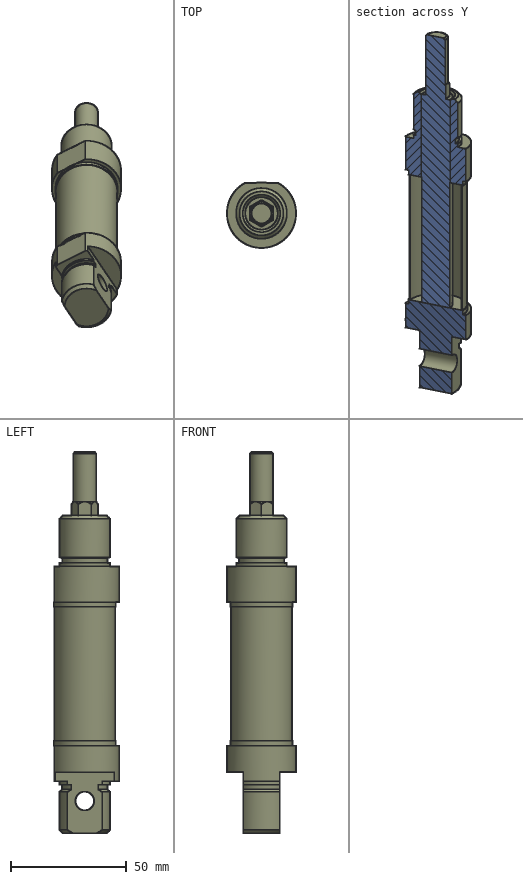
import cadquery as cq
import math


TOTAL_LENGTH = 165.0
REAR_CAP_BOTTOM = 22.5
TANG_SHOULDER = 26.5
REAR_CAP_TOP = 38.0
FRONT_CAP_BOTTOM = 100.0
FRONT_CAP_TOP = 115.5
NOSE_TOP = 137.5
HEX_TOP = 143.5

CAP_DIAMETER = 30.0
CAP_FLAT_Y = 13.25
RING_DIAMETER = 27.0
RING_HEIGHT = 2.0

NOSE_DIAMETER = 22.0
NOSE_CHAMFER = 1.5
COLLAR_HEIGHT = 1.5
RELIEF_DIAMETER = 19.7
RELIEF_WIDTH = 2.0
FRONT_RELIEF_RISE = 0.5
REAR_RELIEF_RISE = 1.1

TANG_WIDTH = 16.0
PIVOT_HOLE_DIAMETER = 8.0
PIVOT_HOLE_Z = 14.0

TUBE_DIAMETER = 26.5
TUBE_BORE = 25.0

ROD_THREAD_DIAMETER = 10.0
ROD_TIP_DIAMETER = 8.57
ROD_HEX_WIDTH = 10.0
ROD_HEX_CORNERS = ROD_HEX_WIDTH / math.cos(math.pi / 6)
ROD_HEX_BEVEL_HEIGHT = 1.2
ROD_SHAFT_DIAMETER = 14.0
ROD_SHAFT_SINK = 0.7

COUNTERSINK_TOP_DIAMETER = 16.2
ROD_BORE = 14.1
COUNTERSINK_DEPTH = (COUNTERSINK_TOP_DIAMETER - ROD_BORE) / 2

TUBE_BOTTOM = REAR_CAP_TOP + RING_HEIGHT
TUBE_TOP = FRONT_CAP_BOTTOM - RING_HEIGHT


def cylinder(diameter, bottom, top):
    """Round bar on the Z axis between two levels."""
    return cq.Workplane("XY").workplane(offset=bottom).circle(diameter / 2).extrude(top - bottom)


def cone(bottom_diameter, top_diameter, bottom, top):
    """Cone frustum on the Z axis between two levels."""
    solid = cq.Solid.makeCone(
        bottom_diameter / 2, top_diameter / 2, top - bottom, pnt=cq.Vector(0, 0, bottom)
    )
    return cq.Workplane(obj=solid)


def hex_bar(bottom, top):
    """Hexagonal bar on the Z axis with two of its flats facing -X and +X."""
    bar = cq.Workplane("XY").workplane(offset=bottom).polygon(6, ROD_HEX_CORNERS).extrude(top - bottom)
    return bar.rotate((0, 0, 0), (0, 0, 1), 30)


def cap_block(bottom, top):
    """Main cylinder of a cap with its flat on the +Y side."""
    keep = (
        cq.Workplane("XY")
        .workplane(offset=bottom)
        .center(0, CAP_FLAT_Y - CAP_DIAMETER / 2)
        .rect(CAP_DIAMETER, CAP_DIAMETER)
        .extrude(top - bottom)
    )
    return cylinder(CAP_DIAMETER, bottom, top).intersect(keep)


def nose(length, relief_rise):
    """Nose standing on z = 0: collar, thread relief ending in a cone, and chamfered end."""
    radius = NOSE_DIAMETER / 2
    relief_radius = RELIEF_DIAMETER / 2
    relief_top = COLLAR_HEIGHT + RELIEF_WIDTH
    outline = [
        (0, 0),
        (radius, 0),
        (radius, COLLAR_HEIGHT),
        (relief_radius, COLLAR_HEIGHT),
        (relief_radius, relief_top),
        (radius, relief_top + relief_rise),
        (radius, length - NOSE_CHAMFER),
        (radius - NOSE_CHAMFER, length),
        (0, length),
    ]
    return cq.Workplane("XZ").polyline(outline).close().revolve(360, (0, 0), (0, 1))


def make_front_cap():
    cap = cap_block(FRONT_CAP_BOTTOM, FRONT_CAP_TOP)
    cap = cap.union(cylinder(RING_DIAMETER, TUBE_TOP, FRONT_CAP_BOTTOM))
    front_nose = nose(NOSE_TOP - FRONT_CAP_TOP, FRONT_RELIEF_RISE)
    cap = cap.union(front_nose.translate((0, 0, FRONT_CAP_TOP)))
    countersink = cone(ROD_BORE, COUNTERSINK_TOP_DIAMETER, NOSE_TOP - COUNTERSINK_DEPTH, NOSE_TOP)
    return cap.cut(countersink).cut(cylinder(ROD_BORE, TUBE_TOP, NOSE_TOP))


def make_rear_cap():
    cap = cap_block(REAR_CAP_BOTTOM, REAR_CAP_TOP)
    cap = cap.union(cylinder(RING_DIAMETER, REAR_CAP_TOP, TUBE_BOTTOM))
    rear_nose = nose(REAR_CAP_BOTTOM, REAR_RELIEF_RISE).rotate((0, 0, 0), (1, 0, 0), 180)
    cap = cap.union(rear_nose.translate((0, 0, REAR_CAP_BOTTOM)))

    side_width = (CAP_DIAMETER - TANG_WIDTH) / 2
    for side in (-1, 1):
        side_cut = (
            cq.Workplane("XY")
            .center(side * (TANG_WIDTH + side_width) / 2, 0)
            .rect(side_width, CAP_DIAMETER)
            .extrude(TANG_SHOULDER)
        )
        cap = cap.cut(side_cut)

    pivot_hole = (
        cq.Workplane("YZ")
        .center(0, PIVOT_HOLE_Z)
        .circle(PIVOT_HOLE_DIAMETER / 2)
        .extrude(TANG_WIDTH / 2, both=True)
    )
    return cap.cut(pivot_hole)


def make_tube():
    return cylinder(TUBE_DIAMETER, TUBE_BOTTOM, TUBE_TOP).cut(cylinder(TUBE_BORE, TUBE_BOTTOM, TUBE_TOP))


def make_rod():
    shaft_top = NOSE_TOP - ROD_SHAFT_SINK
    shaft = cylinder(ROD_SHAFT_DIAMETER, TUBE_BOTTOM, shaft_top)

    bevel_start = HEX_TOP - ROD_HEX_BEVEL_HEIGHT
    envelope = cylinder(ROD_HEX_CORNERS, shaft_top, bevel_start).union(
        cone(ROD_HEX_CORNERS, ROD_THREAD_DIAMETER, bevel_start, HEX_TOP)
    )
    hex_part = hex_bar(shaft_top, HEX_TOP).intersect(envelope)

    tip_chamfer = (ROD_THREAD_DIAMETER - ROD_TIP_DIAMETER) / 2
    thread = cylinder(ROD_THREAD_DIAMETER, HEX_TOP, TOTAL_LENGTH).faces(">Z").chamfer(tip_chamfer)
    return shaft.union(hex_part).union(thread)


front_cap = make_front_cap()
rear_cap = make_rear_cap()
tube = make_tube()
rod = make_rod()

result = cq.Compound.makeCompound([front_cap.val(), rear_cap.val(), tube.val(), rod.val()])